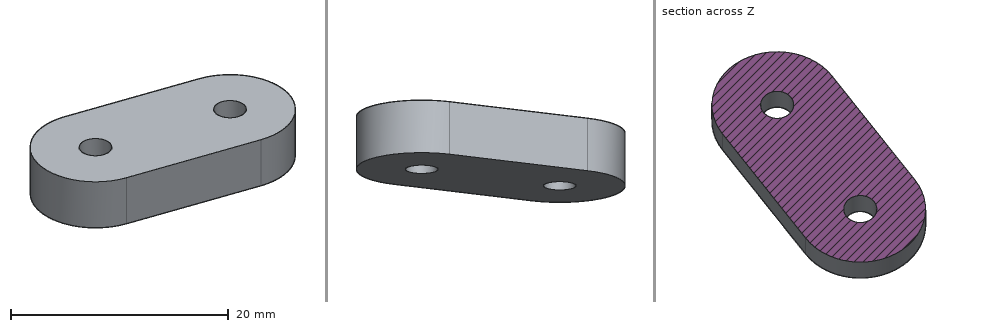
import cadquery as cq

length = 26.0
width = 12.0
thickness = 5.0
hole_diameter = 3.0

hole_spacing = length - width

body = cq.Workplane("XY").slot2D(length, width, angle=90).extrude(thickness)

result = (
    body.faces(">Z")
    .workplane()
    .pushPoints([(0, -hole_spacing / 2), (0, hole_spacing / 2)])
    .hole(hole_diameter)
)